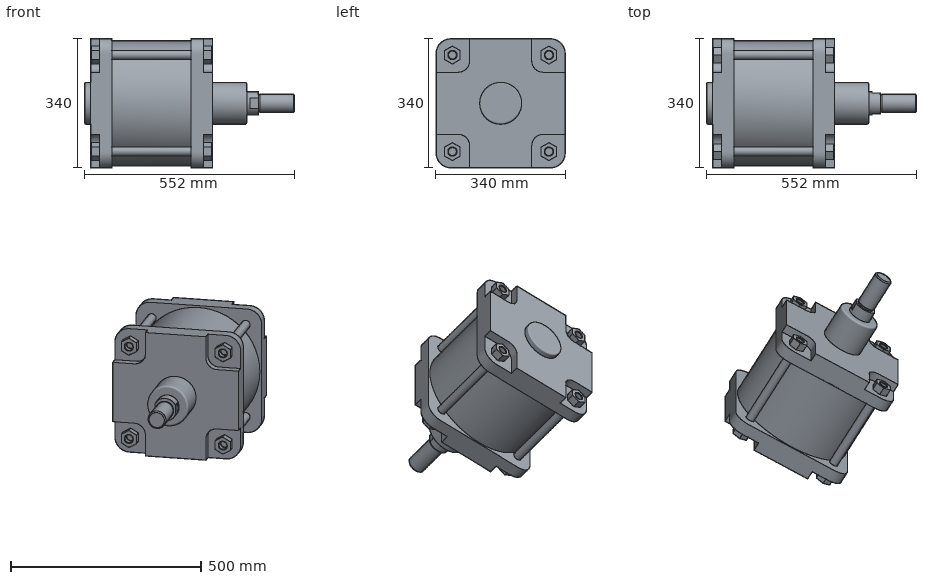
import cadquery as cq
import math


cap_side = 340.0
cap_thickness = 56.5
cap_corner_radius = 40.0
boss_diameter = 110.5
rear_boss_length = 15.5
rear_boss_fillet = 4.0
front_boss_length = 90.0
front_boss_fillet = 5.0

recess_side = 88.5
recess_depth = 24.0
recess_corner_radius = 30.0

barrel_diameter = 330.0
barrel_length = 208.0

tie_rod_offset = 127.0
tie_rod_diameter = 24.0
nut_across_flats = 41.0
nut_height = 21.5
nut_corner_diameter = nut_across_flats / math.cos(math.pi / 6)
nut_hole_diameter = 21.0
nut_countersink = 1.5

overall_length = 552.0
rod_diameter = 62.0
rod_flat_width = 55.0
rod_flat_length = 21.5
rod_collar_length = 9.0
neck_diameter = 45.0
neck_length = 4.5
thread_diameter = 48.0
thread_chamfer = 3.5

rear_cap_outer = rear_boss_length
rear_cap_inner = rear_cap_outer + cap_thickness
front_cap_inner = rear_cap_inner + barrel_length
front_cap_outer = front_cap_inner + cap_thickness
front_boss_end = front_cap_outer + front_boss_length
flat_start = front_boss_end + rod_collar_length
flat_end = flat_start + rod_flat_length
thread_start = flat_end + neck_length
rear_recess_floor = rear_cap_outer + recess_depth
front_recess_floor = front_cap_outer - recess_depth

corner_signs = [(sy, sz) for sy in (-1, 1) for sz in (-1, 1)]
tie_rod_points = [(sy * tie_rod_offset, sz * tie_rod_offset) for sy, sz in corner_signs]


def section_at(x):
    """Workplane across the axis at station x, with local axes Y and Z."""
    return cq.Workplane("YZ", origin=(x, 0, 0))


def cylinder(x_start, x_end, diameter):
    return section_at(x_start).circle(diameter / 2).extrude(x_end - x_start)


def corner_recesses(x_start):
    """Four pockets, each open to two sides of a cap and rounded at its inner corner."""
    recesses = cq.Workplane("YZ")
    pocket_side = 2 * recess_side
    for sy, sz in corner_signs:
        pocket = (
            section_at(x_start)
            .center(sy * cap_side / 2, sz * cap_side / 2)
            .rect(pocket_side, pocket_side)
            .extrude(recess_depth)
            .edges("|X")
            .fillet(recess_corner_radius)
        )
        recesses = recesses.add(pocket)
    return recesses.combine()


def make_cap(plate_start, recess_start):
    """Square plate with rounded edges, corner recesses and tie-rod holes."""
    plate = (
        section_at(plate_start)
        .rect(cap_side, cap_side)
        .extrude(cap_thickness)
        .edges("|X")
        .fillet(cap_corner_radius)
    )
    rod_holes = (
        section_at(plate_start)
        .pushPoints(tie_rod_points)
        .circle(tie_rod_diameter / 2)
        .extrude(cap_thickness)
    )
    return plate.cut(corner_recesses(recess_start)).cut(rod_holes)


def make_rear_cap():
    boss = cylinder(0, rear_cap_outer, boss_diameter).faces("<X").edges().fillet(rear_boss_fillet)
    return make_cap(rear_cap_outer, rear_cap_outer).union(boss)


def make_front_cap():
    boss = cylinder(front_cap_outer, front_boss_end, boss_diameter).faces(">X").edges().fillet(front_boss_fillet)
    rod_bore = cylinder(front_cap_inner, front_boss_end, rod_diameter)
    return make_cap(front_cap_inner, front_recess_floor).union(boss).cut(rod_bore)


def make_barrel():
    return cylinder(rear_cap_inner, front_cap_inner, barrel_diameter)


def make_nut(x_floor, direction):
    """Hexagonal nut on a recess floor, with corners toward +Z and -Z and a countersunk hole."""
    height = direction * nut_height
    hexagon = section_at(x_floor).transformed(rotate=(0, 0, 90)).polygon(6, nut_corner_diameter)
    nut = hexagon.extrude(height)
    hole = section_at(x_floor).circle(nut_hole_diameter / 2).extrude(height)
    drilled = nut.cut(hole)
    rim = drilled.faces(">X" if direction > 0 else "<X").edges("%CIRCLE")
    return rim.chamfer(nut_countersink)


def make_tie_rod(y, z):
    """Rod between the two recess floors, with a nut at each end."""
    rod = cylinder(rear_recess_floor, front_recess_floor, tie_rod_diameter)
    rear_nut = make_nut(rear_recess_floor, -1)
    front_nut = make_nut(front_recess_floor, 1)
    return rod.union(rear_nut).union(front_nut).translate((0, y, z))


def make_piston_rod():
    """Rod through the front cap, with two wrench flats, a neck and a threaded end."""
    flat_block = section_at(flat_start).rect(rod_flat_width, rod_diameter).extrude(rod_flat_length)
    flatted_length = cylinder(flat_start, flat_end, rod_diameter).intersect(flat_block)
    threaded_end = cylinder(thread_start, overall_length, thread_diameter).faces(">X").chamfer(thread_chamfer)
    return (
        cylinder(front_cap_inner, flat_start, rod_diameter)
        .union(flatted_length)
        .union(cylinder(flat_end, thread_start, neck_diameter))
        .union(threaded_end)
    )


rear_cap = make_rear_cap()
front_cap = make_front_cap()
barrel = make_barrel()
piston_rod = make_piston_rod()
tie_rods = [make_tie_rod(y, z) for y, z in tie_rod_points]

bodies = [rear_cap, front_cap, barrel, piston_rod] + tie_rods

result = cq.Compound.makeCompound([body.solids().val() for body in bodies])